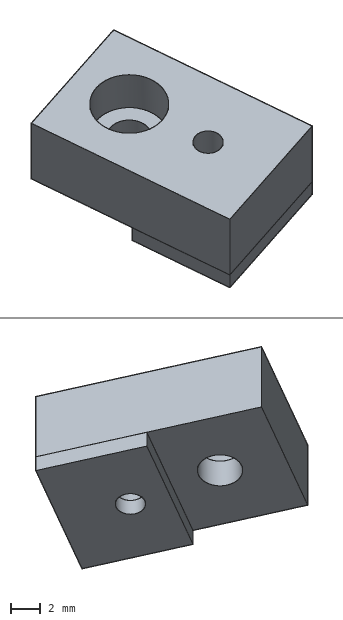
import cadquery as cq

length = 16.0
width = 10.16
total_height = 6.86

pad_height = 1.28
pad_length = 7.87
block_height = total_height - pad_height

screw_x = 4.58
screw_diameter = 3.05
counterbore_diameter = 5.33
counterbore_depth = 3.3

pin_hole_x = 10.93
pin_hole_diameter = 2.03


def make_box(x_start, box_length, z_bottom, height):
    """Full-width box, centred on Y = 0."""
    return (
        cq.Workplane("XY", origin=(x_start, 0, z_bottom))
        .box(box_length, width, height, centered=(False, True, False))
    )


def drill_pin_hole(body):
    """Cut the pin hole right through a body."""
    return (
        body.faces(">Z").workplane(origin=(pin_hole_x, 0, 0))
        .hole(pin_hole_diameter)
    )


def make_block():
    block = make_box(0, length, pad_height, block_height)
    block = (
        block.faces(">Z").workplane(origin=(screw_x, 0, 0))
        .cboreHole(screw_diameter, counterbore_diameter, counterbore_depth)
    )
    return drill_pin_hole(block)


def make_pad():
    pad = make_box(length - pad_length, pad_length, 0, pad_height)
    return drill_pin_hole(pad)


block = make_block()
pad = make_pad()
result = cq.Compound.makeCompound([block.val(), pad.val()])